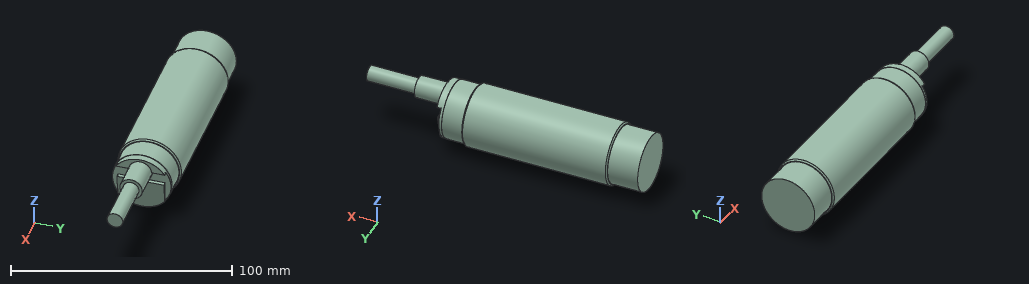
import cadquery as cq

total_length = 139.0
sleeve_radius = 15.0
core_radius = 14.0
sleeve_start = 14.9
sleeve_end = 87.0
sleeve_chamfer = 0.7

disc_start = 97.2
disc_radius = 13.9
disc_end = 98.5

cap_end = 100.6
cap_bottom = 7.8
pad_end = 100.5
pad_top = 2.0
pad_half_width = 11.1

cable_height = 7.4
cable_radius = 3.8
relief_end = 114.5
relief_base_radius = 5.4
relief_tip_radius = 5.3


def rod(start, end, radius, height=0.0):
    """Round bar along X, centred at the given height."""
    return cq.Workplane("YZ", origin=(start, 0, height)).circle(radius).extrude(end - start)


def make_housing():
    sleeve = rod(sleeve_start, sleeve_end, sleeve_radius).edges().chamfer(sleeve_chamfer)
    core = rod(0, disc_start, core_radius)
    return core.union(sleeve).union(rod(disc_start, disc_end, disc_radius))


def make_cap_segment():
    """Part of the round end that lies above a horizontal chord."""
    above_chord = (
        cq.Workplane("XY", origin=(0, 0, cap_bottom))
        .rect(2 * total_length, 2 * disc_radius)
        .extrude(disc_radius)
    )
    return rod(disc_start, cap_end, disc_radius).intersect(above_chord)


def make_sloped_pad():
    """Wedge that thickens upwards, trimmed to the round housing outline."""
    wedge = (
        cq.Workplane("XZ")
        .moveTo(disc_start, -disc_radius)
        .lineTo(disc_end, -disc_radius)
        .lineTo(pad_end, pad_top)
        .lineTo(disc_start, pad_top)
        .close()
        .extrude(pad_half_width, both=True)
    )
    return wedge.intersect(rod(disc_start, pad_end, disc_radius))


def make_strain_relief():
    return (
        cq.Workplane("XY")
        .moveTo(disc_start, 0)
        .lineTo(relief_end, 0)
        .lineTo(relief_end, relief_tip_radius)
        .lineTo(disc_start, relief_base_radius)
        .close()
        .revolve(360, (0, 0, 0), (1, 0, 0))
        .translate((0, 0, cable_height))
    )


cable = rod(disc_start, total_length, cable_radius, cable_height)

result = (
    make_housing()
    .union(make_cap_segment())
    .union(make_sloped_pad())
    .union(make_strain_relief())
    .union(cable)
)